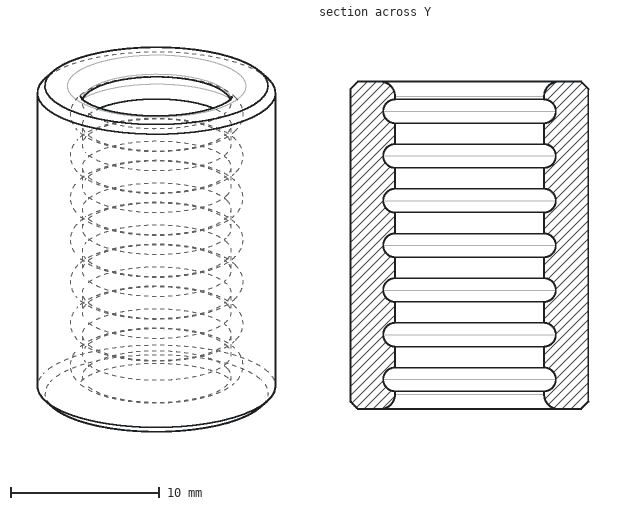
import cadquery as cq

length = 22.0
outer_radius = length * 4 / 11
edge_chamfer = 0.5

bore_radius = outer_radius * 5 / 8
mouth_round = outer_radius / 8

groove_count = 7
groove_pitch = 3 * mouth_round
groove_radius = 0.8


def sleeve_body():
    """Chamfered tube with rounded bore mouths."""
    body = cq.Workplane("XY").circle(outer_radius).extrude(length)
    body = body.faces("<Z or >Z").edges().chamfer(edge_chamfer)
    body = body.cut(cq.Workplane("XY").circle(bore_radius).extrude(length))
    mouths = cq.selectors.RadiusNthSelector(0)
    return body.edges("%CIRCLE").edges(mouths).fillet(mouth_round)


def groove_ring(height):
    """Ring whose inner half lies in the open bore and outer half cuts the wall."""
    return cq.Workplane(
        cq.Solid.makeTorus(bore_radius, groove_radius, cq.Vector(0, 0, height), cq.Vector(0, 0, 1))
    )


result = sleeve_body()
for index in range(groove_count):
    offset_from_middle = (index - (groove_count - 1) / 2) * groove_pitch
    result = result.cut(groove_ring(length / 2 + offset_from_middle))